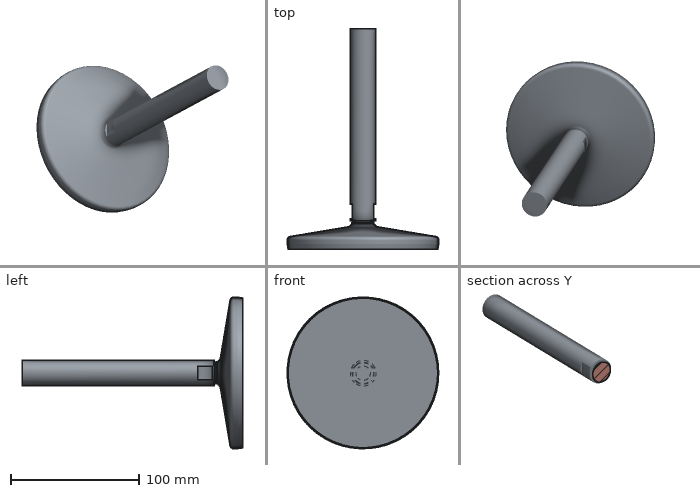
import cadquery as cq
import math


total_length = 172.0
stem_length = 149.6
stem_radius = 10.0
stem_bottom = total_length - stem_length

flats_width = 17.0
flats_length = 11.5
lip_below_flats = 1.4
flats_start = stem_bottom + lip_below_flats

neck_top_radius = 5.6
neck_bottom_radius = 8.6

foot_radius = 59.0
base_radius = 58.3
rim_taper_height = 4.2
rim_straight_top = 7.0
rim_fillet_radius = 3.0
cone_slope = math.radians(9.5)

foot_height = 20.8
collar_radius = neck_bottom_radius
collar_root_height = 20.0
collar_root_radius = 8.1
skirt_slope = math.radians(42)
skirt_fillet_radius = 2.5


def make_stem():
    """Stem with a flared neck and two opposite wrench flats facing -X and +X."""
    profile = (
        cq.Workplane("XY")
        .moveTo(0, foot_height)
        .lineTo(neck_bottom_radius, foot_height)
        .lineTo(neck_top_radius, stem_bottom)
        .lineTo(stem_radius, stem_bottom)
        .lineTo(stem_radius, total_length)
        .lineTo(0, total_length)
        .close()
    )
    stem = profile.revolve(360, (0, 0, 0), (0, 1, 0))
    flat_depth = stem_radius - flats_width / 2
    for side in (-1, 1):
        cutter = cq.Workplane("XY").box(flat_depth, flats_length, 2 * stem_radius)
        cutter_x = side * (flats_width + flat_depth) / 2
        stem = stem.cut(cutter.translate((cutter_x, flats_start + flats_length / 2, 0)))
    return stem


def arc_point(center, radius, angle):
    """Point at a distance and angle from a center, the angle measured from the radial direction."""
    return (center[0] + radius * math.cos(angle), center[1] + radius * math.sin(angle))


def make_foot():
    """Foot plate with a tapered rim, rounded shoulder, shallow cone and central collar."""
    shoulder_center = (foot_radius - rim_fillet_radius, rim_straight_top)
    cone_normal = math.pi / 2 - cone_slope
    cone_bottom = arc_point(shoulder_center, rim_fillet_radius, cone_normal)
    shoulder_middle = arc_point(shoulder_center, rim_fillet_radius, cone_normal / 2)

    cone_rise = math.tan(cone_slope)
    skirt_rise = math.tan(skirt_slope)
    cone_apex_height = cone_bottom[1] + cone_bottom[0] * cone_rise
    skirt_apex_height = collar_root_height + collar_root_radius * skirt_rise
    corner_radius = (skirt_apex_height - cone_apex_height) / (skirt_rise - cone_rise)
    corner = (corner_radius, cone_apex_height - corner_radius * cone_rise)

    skirt_normal = math.pi / 2 - skirt_slope
    middle_normal = (cone_normal + skirt_normal) / 2
    center_distance = skirt_fillet_radius / math.cos((skirt_slope - cone_slope) / 2)
    fillet_center = arc_point(corner, center_distance, middle_normal)
    fillet_outer = arc_point(fillet_center, -skirt_fillet_radius, cone_normal)
    fillet_middle = arc_point(fillet_center, -skirt_fillet_radius, middle_normal)
    fillet_inner = arc_point(fillet_center, -skirt_fillet_radius, skirt_normal)

    profile = (
        cq.Workplane("XY")
        .lineTo(base_radius, 0)
        .lineTo(foot_radius, rim_taper_height)
        .lineTo(foot_radius, rim_straight_top)
        .threePointArc(shoulder_middle, cone_bottom)
        .lineTo(*fillet_outer)
        .threePointArc(fillet_middle, fillet_inner)
        .lineTo(collar_root_radius, collar_root_height)
        .lineTo(collar_radius, foot_height)
        .lineTo(0, foot_height)
        .close()
    )
    return profile.revolve(360, (0, 0, 0), (0, 1, 0))


stem = make_stem()
foot = make_foot()
result = cq.Compound.makeCompound([stem.val(), foot.val()])